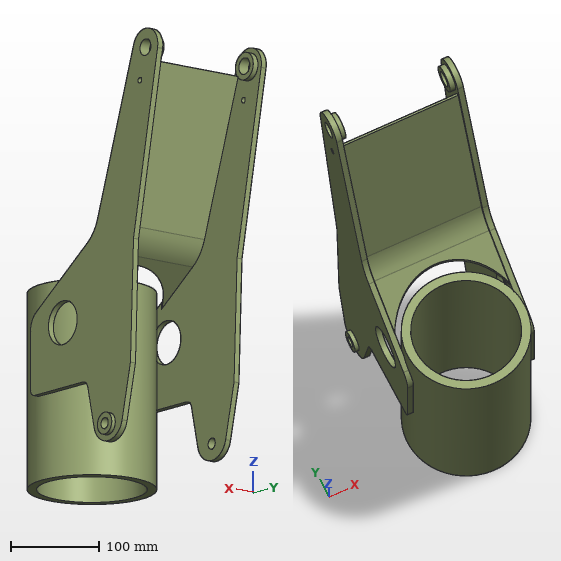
import cadquery as cq
import math

TUBE_DIAMETER = 147.0
TUBE_BORE = 125.5
TUBE_HEIGHT = 228.5

PLATE_OUTER_X = 80.0
PLATE_THICKNESS = 7.5
PLATE_INNER_X = PLATE_OUTER_X - PLATE_THICKNESS

TOP_RADIUS = 22.0
TOP_CENTER = (191.5, 490.5 - TOP_RADIUS)
LOWER_RADIUS = 25.5
LOWER_CENTER = (125.0, 47.5)
BACK_UPPER_CORNER = (170.0, 249.5)
BACK_LOWER_CORNER = (165.0, 106.5)
BEND_CORNER = (101.0, 268.5)
FRONT_Y = -12.8
FRONT_TOP_CORNER = (FRONT_Y, 188.0)
FRONT_BOTTOM_CORNER = (FRONT_Y, 98.5)
NOTCH_CORNER = (87.5, 98.5)
BEND_RADIUS = 50.0
FRONT_TOP_RADIUS = 25.5
FRONT_BOTTOM_RADIUS = 7.5
NOTCH_RADIUS = 10.0

TOP_HOLE = 19.0
TOP_BOSS = 32.0
TOP_BOSS_HEIGHT = 7.0
PIN_HOLE = 6.5
PIN_CENTER = (181.5, 431.5)
WINDOW_HOLE = 51.0
WINDOW_CENTER = (44.5, 174.0)
LOWER_HOLE = 12.8
LOWER_BOSS = 25.5
LOWER_BOSS_CENTER = (125.0, 41.5)
OVERALL_WIDTH = 170.0
LOWER_BOSS_HEIGHT = OVERALL_WIDTH / 2 - PLATE_OUTER_X

WEB_RECESS = 3.0
WEB_THICKNESS = 3.5
WEB_TOP_Z = 462.0
WEB_CUTOUT_RADIUS = 81.0


def tangent_point(point, center, radius, side):
    """Point where a line from `point` touches a circle; side (+1 or -1) picks the tangent."""
    dy = point[0] - center[0]
    dz = point[1] - center[1]
    angle = math.atan2(dz, dy) + side * math.acos(radius / math.hypot(dy, dz))
    return (center[0] + radius * math.cos(angle), center[1] + radius * math.sin(angle))


def x_cylinder(center, diameter, x_start, length):
    """Cylinder along +X, with its axis at the given (Y, Z)."""
    return cq.Workplane("YZ", origin=(x_start, *center)).circle(diameter / 2).extrude(length)


def x_hole(center, diameter):
    """Cutter along X through both plates."""
    return x_cylinder(center, diameter, -OVERALL_WIDTH / 2, OVERALL_WIDTH)


def round_corner(body, corner, radius):
    """Fillet the edge parallel to X that passes through the given (Y, Z)."""
    edge_selector = cq.selectors.NearestToPointSelector((PLATE_INNER_X + PLATE_THICKNESS / 2, *corner))
    return body.edges("|X").edges(edge_selector).fillet(radius)


def make_plate():
    top_back = tangent_point(BACK_UPPER_CORNER, TOP_CENTER, TOP_RADIUS, 1)
    top_front = tangent_point(BEND_CORNER, TOP_CENTER, TOP_RADIUS, -1)
    top_tip = (TOP_CENTER[0], TOP_CENTER[1] + TOP_RADIUS)
    lower_back = tangent_point(BACK_LOWER_CORNER, LOWER_CENTER, LOWER_RADIUS, -1)
    lower_front = tangent_point(NOTCH_CORNER, LOWER_CENTER, LOWER_RADIUS, 1)
    lower_tip = (LOWER_CENTER[0], LOWER_CENTER[1] - LOWER_RADIUS)
    plate = (
        cq.Workplane("YZ", origin=(PLATE_INNER_X, 0, 0))
        .moveTo(*top_front)
        .threePointArc(top_tip, top_back)
        .lineTo(*BACK_UPPER_CORNER)
        .lineTo(*BACK_LOWER_CORNER)
        .lineTo(*lower_back)
        .threePointArc(lower_tip, lower_front)
        .lineTo(*NOTCH_CORNER)
        .lineTo(*FRONT_BOTTOM_CORNER)
        .lineTo(*FRONT_TOP_CORNER)
        .lineTo(*BEND_CORNER)
        .close()
        .extrude(PLATE_THICKNESS)
    )
    plate = round_corner(plate, BEND_CORNER, BEND_RADIUS)
    plate = round_corner(plate, FRONT_TOP_CORNER, FRONT_TOP_RADIUS)
    plate = round_corner(plate, FRONT_BOTTOM_CORNER, FRONT_BOTTOM_RADIUS)
    return round_corner(plate, NOTCH_CORNER, NOTCH_RADIUS)


def make_side():
    """The +X plate with its inner top boss and outer lower boss."""
    top_boss = x_cylinder(TOP_CENTER, TOP_BOSS, PLATE_INNER_X - TOP_BOSS_HEIGHT, TOP_BOSS_HEIGHT)
    lower_boss = x_cylinder(LOWER_BOSS_CENTER, LOWER_BOSS, PLATE_OUTER_X, LOWER_BOSS_HEIGHT)
    return make_plate().union(top_boss).union(lower_boss)


def make_web():
    """Bent sheet that follows the front edge of the plates, set back by WEB_RECESS."""
    top_edge = tangent_point(BEND_CORNER, TOP_CENTER, TOP_RADIUS, -1)
    upper_angle = math.atan2(top_edge[1] - BEND_CORNER[1], top_edge[0] - BEND_CORNER[0])
    lower_angle = math.atan2(BEND_CORNER[1] - FRONT_TOP_CORNER[1], BEND_CORNER[0] - FRONT_TOP_CORNER[0])
    half_turn = (upper_angle - lower_angle) / 2
    bisector = (upper_angle + lower_angle) / 2

    def bend_at(offset):
        reach = offset / math.cos(half_turn)
        return (BEND_CORNER[0] + reach * math.sin(bisector), BEND_CORNER[1] - reach * math.cos(bisector))

    def along(point, angle, distance):
        return (point[0] + distance * math.cos(angle), point[1] + distance * math.sin(angle))

    def bend_tangents(offset):
        """Start, middle and end of the bend arc; the arc centre is shared with the plate bend."""
        radius = BEND_RADIUS + offset
        corner = bend_at(offset)
        tangent_length = radius * math.tan(half_turn)
        apex_distance = radius / math.cos(half_turn) - radius
        apex = along(corner, bisector + math.pi / 2, apex_distance)
        return along(corner, upper_angle, tangent_length), apex, along(corner, lower_angle, -tangent_length)

    face_upper, face_apex, face_lower = bend_tangents(WEB_RECESS)
    back_upper, back_apex, back_lower = bend_tangents(WEB_RECESS + WEB_THICKNESS)
    upper_length = (WEB_TOP_Z - face_upper[1]) / math.sin(upper_angle)
    lower_length = face_lower[0] / math.cos(lower_angle)
    web = (
        cq.Workplane("YZ", origin=(-PLATE_INNER_X, 0, 0))
        .moveTo(*along(face_upper, upper_angle, upper_length))
        .lineTo(*face_upper)
        .threePointArc(face_apex, face_lower)
        .lineTo(*along(face_lower, lower_angle, -lower_length))
        .lineTo(*along(back_lower, lower_angle, -lower_length))
        .lineTo(*back_lower)
        .threePointArc(back_apex, back_upper)
        .lineTo(*along(back_upper, upper_angle, upper_length))
        .close()
        .extrude(2 * PLATE_INNER_X)
    )
    return web.cut(cq.Workplane("XY").circle(WEB_CUTOUT_RADIUS).extrude(WEB_TOP_Z))


def make_tube():
    return cq.Workplane("XY").circle(TUBE_DIAMETER / 2).circle(TUBE_BORE / 2).extrude(TUBE_HEIGHT)


side = make_side()
sides = side.union(side.mirror("YZ"))
for hole_center, hole_diameter in (
    (TOP_CENTER, TOP_HOLE),
    (PIN_CENTER, PIN_HOLE),
    (WINDOW_CENTER, WINDOW_HOLE),
    (LOWER_BOSS_CENTER, LOWER_HOLE),
):
    sides = sides.cut(x_hole(hole_center, hole_diameter))

result = sides.union(make_web()).union(make_tube())